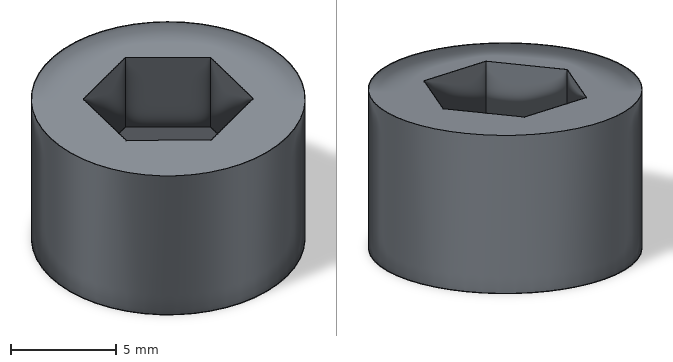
import cadquery as cq
import math

head_diameter = 13.03
head_height = 8.0
socket_across_flats = 7.0
socket_depth = head_height / 2

socket_across_corners = socket_across_flats / math.cos(math.pi / 6)

head = cq.Workplane("XY").circle(head_diameter / 2).extrude(head_height)

socket = (
    cq.Workplane("XY")
    .workplane(offset=head_height - socket_depth)
    .polygon(6, socket_across_corners)
    .extrude(socket_depth)
    .rotate((0, 0, 0), (0, 0, 1), 90)
)

result = head.cut(socket)